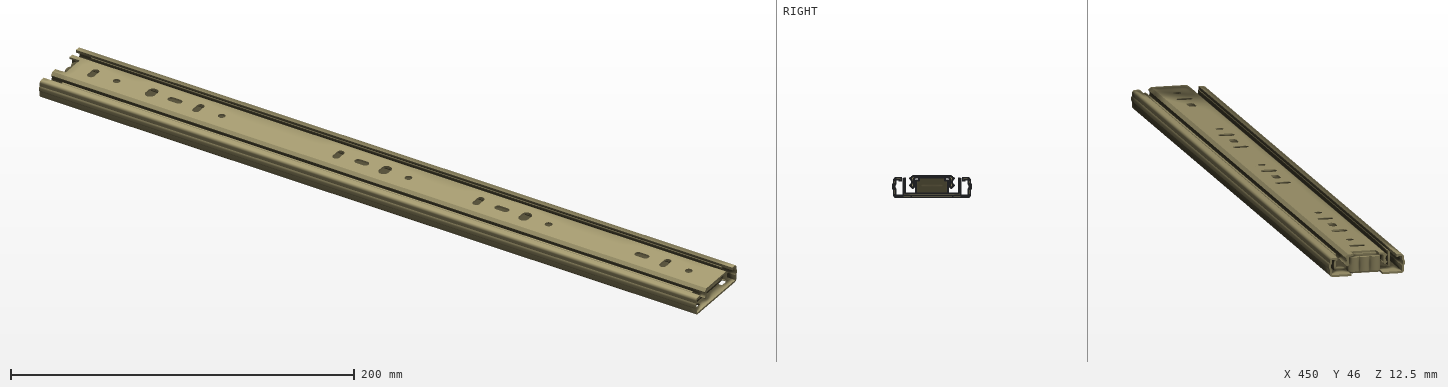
import cadquery as cq
import math

LENGTH = 450.0
WIDTH = 46.0
HEIGHT = 12.5
SHEET = 1.2

wall_y = 22.28
outer_height = 11.48
outer_bend = 2.0
race_low_z = 4.5
race_high_z = 8.0
lip_y = 17.78
lip_drop = 2.0
end_notch_half_width = 9.5
end_notch_depth = 6.8
stop_slot_start = 439.5
stop_slot_end = 446.5
stop_slot_inner_y = 12.0
stop_slot_outer_y = 18.5

cage_start = 11.5
cage_end = 443.5
cage_height = 11.02
cage_arm_y = 16.88
cage_round = 1.0

inner_start = 2.0
web_half_width = 11.0
shoulder_y = 12.82
shoulder_z = 11.02
waist_y = 11.5
waist_z = 9.0
foot_y = 11.2
foot_z = 5.5
web_notch_half_width = 7.5
web_notch_end = 10.5

first_hole_x = 23.0
last_hole_x = 431.0
last_hole_step = 25.5
hole_pitch = (last_hole_x - first_hole_x) / last_hole_step
hole_diameter = 4.5
slot_length = 9.5
wide_slot_width = 6.5
round_hole_steps = [1, 5.5, 13.5, 19.5, last_hole_step]
cross_slot_steps = [0, 4.5, 10.5, 16.5, 24.5]
wide_slot_steps = [2.5, 12.5, 18.5]
long_slot_steps = [3.5, 11.5, 17.5, 23.5]

bumper_half_width = 9.5
bumper_bottom = 1.5
bumper_top = 10.0
lobe_count = 3
lobe_tip_x = 4.5
lobe_valley_x = 6.0
bumper_step_x = 7.5
bumper_key_x = 9.0
bumper_end = 11.2


def mirrored_channel(half_profile, start, end):
    """Extrude the +Y half of a channel section along X and add its mirror image."""
    half = half_profile.close().extrude(end - start)
    return half.union(half.mirror("XZ")).clean()


def box_between(x0, x1, y0, y1, z0, z1):
    """Box given by its limits along the three axes."""
    return cq.Workplane("XY").box(x1 - x0, y1 - y0, z1 - z0, centered=False).translate((x0, y0, z0))


def make_outer_rail():
    race_mid_z = (race_low_z + race_high_z) / 2
    inside_y = wall_y - SHEET
    race_y = WIDTH / 2
    bend_center_y = wall_y - outer_bend
    upper_bend_z = outer_height - outer_bend
    bend_diagonal = outer_bend * math.sin(math.pi / 4)
    half = (
        cq.Workplane("YZ")
        .moveTo(0, 0)
        .lineTo(bend_center_y, 0)
        .threePointArc((bend_center_y + bend_diagonal, outer_bend - bend_diagonal), (wall_y, outer_bend))
        .lineTo(wall_y, race_low_z)
        .threePointArc((race_y, race_mid_z), (wall_y, race_high_z))
        .lineTo(wall_y, upper_bend_z)
        .threePointArc(
            (bend_center_y + bend_diagonal, upper_bend_z + bend_diagonal),
            (bend_center_y, outer_height),
        )
        .lineTo(lip_y, outer_height)
        .lineTo(lip_y, outer_height - lip_drop)
        .lineTo(lip_y + SHEET, outer_height - lip_drop)
        .lineTo(lip_y + SHEET, outer_height - SHEET)
        .lineTo(inside_y, outer_height - SHEET)
        .lineTo(inside_y, race_high_z)
        .threePointArc((race_y - SHEET, race_mid_z), (inside_y, race_low_z))
        .lineTo(inside_y, SHEET)
        .lineTo(0, SHEET)
    )
    rail = mirrored_channel(half, 0, LENGTH)

    end_notch = box_between(0, end_notch_depth, -end_notch_half_width, end_notch_half_width, 0, SHEET)
    rail = rail.cut(end_notch)

    stop_slot = box_between(stop_slot_start, stop_slot_end, stop_slot_inner_y, stop_slot_outer_y, 0, SHEET)
    return rail.cut(stop_slot).cut(stop_slot.mirror("XZ"))


def make_ball_cage():
    arm_inside_y = cage_arm_y - SHEET
    round_diagonal = cage_round * math.sin(math.pi / 4)
    round_center_y = cage_arm_y - cage_round
    round_center_z = cage_height - cage_round
    half = (
        cq.Workplane("YZ", origin=(cage_start, 0, 0))
        .moveTo(0, SHEET)
        .lineTo(cage_arm_y, SHEET)
        .lineTo(cage_arm_y, round_center_z)
        .threePointArc(
            (round_center_y + round_diagonal, round_center_z + round_diagonal),
            (round_center_y, cage_height),
        )
        .lineTo(arm_inside_y, cage_height)
        .lineTo(arm_inside_y, 2 * SHEET)
        .lineTo(0, 2 * SHEET)
    )
    return mirrored_channel(half, cage_start, cage_end)


def hole_places(steps):
    """Places on the center line of the web, given in pitches from the first hole."""
    return [(first_hole_x + step * hole_pitch, 0) for step in steps]


def cut_web_slots(rail, steps, length, width, angle):
    """Cut a row of equal slots through the web; angle 0 lies along the rail."""
    slots = (
        cq.Workplane("XY", origin=(0, 0, HEIGHT - SHEET))
        .pushPoints(hole_places(steps))
        .slot2D(length, width, angle)
        .extrude(SHEET)
    )
    return rail.cut(slots)


def make_inner_rail():
    lower_shoulder_z = 2 * waist_z - shoulder_z
    half = (
        cq.Workplane("YZ", origin=(inner_start, 0, 0))
        .moveTo(0, HEIGHT)
        .lineTo(web_half_width, HEIGHT)
        .lineTo(shoulder_y, shoulder_z)
        .threePointArc((waist_y, waist_z), (shoulder_y, lower_shoulder_z))
        .lineTo(foot_y, foot_z)
        .lineTo(foot_y - SHEET, foot_z + SHEET)
        .lineTo(shoulder_y - 2 * SHEET, lower_shoulder_z)
        .threePointArc((waist_y - SHEET, waist_z), (shoulder_y - 2 * SHEET, shoulder_z))
        .lineTo(web_half_width - SHEET, HEIGHT - SHEET)
        .lineTo(0, HEIGHT - SHEET)
    )
    rail = mirrored_channel(half, inner_start, LENGTH)

    web_notch = box_between(
        inner_start, web_notch_end, -web_notch_half_width, web_notch_half_width, HEIGHT - SHEET, HEIGHT
    )
    rail = rail.cut(web_notch)

    round_holes = (
        cq.Workplane("XY", origin=(0, 0, HEIGHT - SHEET))
        .pushPoints(hole_places(round_hole_steps))
        .circle(hole_diameter / 2)
        .extrude(SHEET)
    )
    rail = rail.cut(round_holes)
    rail = cut_web_slots(rail, cross_slot_steps, slot_length, hole_diameter, 90)
    rail = cut_web_slots(rail, wide_slot_steps, slot_length, wide_slot_width, 90)
    return cut_web_slots(rail, long_slot_steps, slot_length, hole_diameter, 0)


def make_end_bumper():
    lobe_width = 2 * bumper_half_width / lobe_count
    front = cq.Workplane("XY", origin=(0, 0, bumper_bottom)).moveTo(lobe_valley_x, -bumper_half_width)
    for lobe in range(lobe_count):
        lobe_start_y = -bumper_half_width + lobe * lobe_width
        front = front.threePointArc(
            (lobe_tip_x, lobe_start_y + lobe_width / 2),
            (lobe_valley_x, lobe_start_y + lobe_width),
        )
    block = (
        front.lineTo(bumper_end, bumper_half_width)
        .lineTo(bumper_end, -bumper_half_width)
        .close()
        .extrude(bumper_top - bumper_bottom)
    )
    step = box_between(
        bumper_step_x, bumper_end, -web_notch_half_width, web_notch_half_width, bumper_top, HEIGHT - SHEET
    )
    key = box_between(
        bumper_key_x, web_notch_end, -web_notch_half_width, web_notch_half_width, HEIGHT - SHEET, HEIGHT
    )
    return block.union(step).union(key)


outer_rail = make_outer_rail()
ball_cage = make_ball_cage()
inner_rail = make_inner_rail()
end_bumper = make_end_bumper()

result = cq.Compound.makeCompound(
    [
        outer_rail.solids().val(),
        ball_cage.solids().val(),
        inner_rail.solids().val(),
        end_bumper.solids().val(),
    ]
)